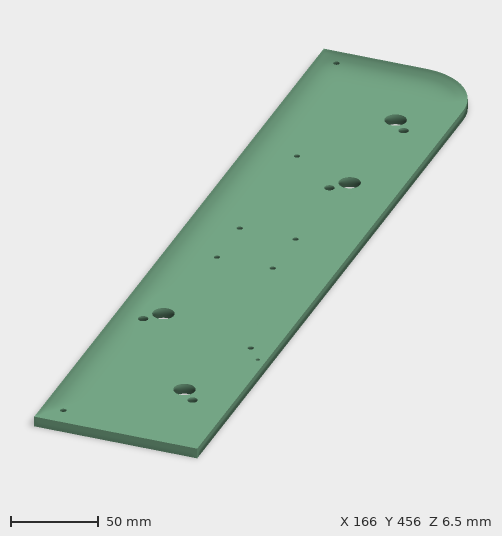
import cadquery as cq
import math

plate_width = 100.0
plate_thickness = 6.5
corner_radius = 36.5
tilt_angle = 8.56

overall_height = 456.0
tilt = math.radians(tilt_angle)
corner_center_x = plate_width - corner_radius
corner_center_y = (overall_height - corner_radius - corner_center_x * math.sin(tilt)) / math.cos(tilt)
plate_length = corner_center_y + corner_radius

large_diameter = 12.8
companion_diameter = 6.0
companion_side_offset = 8.5
companion_drop = 9.5
large_holes = [
    (68.0, 390.5, 1),
    (70.0, 314.0, -1),
    (25.5, 136.5, -1),
    (68.5, 60.0, 1),
]

end_hole_diameter = 3.7
end_hole_inset = 12.8
small_diameter = 3.55
pattern_center = (47.5, 225.5)
pattern_spacing_x = 34.0
pattern_spacing_y = 35.5
upper_hole = (30.5, 331.5)
edge_hole = (86.0, 118.0)
pin_hole_diameter = 2.35
pin_hole = (95.0, 107.0)


def drill(body, diameter, centers):
    """Cut through holes of one diameter at the given plate positions."""
    cutter = (
        cq.Workplane("XY")
        .pushPoints(centers)
        .circle(diameter / 2)
        .extrude(plate_thickness)
    )
    return body.cut(cutter)


plate = (
    cq.Workplane("XY")
    .rect(plate_width, plate_length, centered=False)
    .extrude(plate_thickness)
    .edges("|Z and >X and >Y")
    .fillet(corner_radius)
)

large_centers = [(x, y) for x, y, side in large_holes]
companion_centers = [
    (x + side * companion_side_offset, y - companion_drop)
    for x, y, side in large_holes
]
plate = drill(plate, large_diameter, large_centers)
plate = drill(plate, companion_diameter, companion_centers)

end_centers = [(end_hole_inset, y) for y in (end_hole_inset, plate_length - end_hole_inset)]
plate = drill(plate, end_hole_diameter, end_centers)

pattern_centers = [
    (
        pattern_center[0] + i * pattern_spacing_x / 2,
        pattern_center[1] + j * pattern_spacing_y / 2,
    )
    for i in (-1, 1)
    for j in (-1, 1)
]
plate = drill(plate, small_diameter, pattern_centers + [upper_hole, edge_hole])

plate = drill(plate, pin_hole_diameter, [pin_hole])

result = plate.rotate((0, 0, 0), (0, 0, 1), tilt_angle)